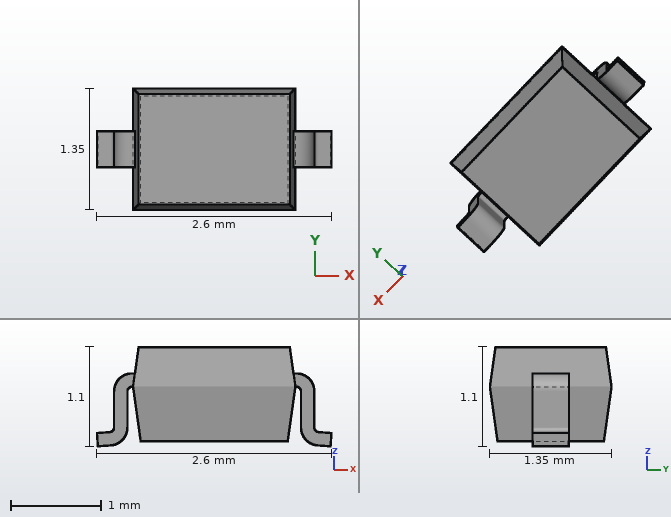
import cadquery as cq
import math

BODY_LENGTH = 1.80
BODY_WIDTH = 1.35
BODY_TOP = 1.10
BODY_BOTTOM = 0.055
PARTING_Z = 0.66
DRAFT_ANGLE = 8.0

LEAD_SPAN = 2.60
LEAD_WIDTH = 0.40
LEAD_THICKNESS = 0.15
LEAD_OUTER_FACE = 1.11
INNER_BEND_RADIUS = 0.05
OUTER_BEND_RADIUS = INNER_BEND_RADIUS + LEAD_THICKNESS
FOOT_TILT = 4.0
LEAD_EMBED = 0.10


def make_body_half(end_z):
    """Half of the body, narrowing from the parting plane to its flat end face."""
    return (
        cq.Workplane("XY", origin=(0, 0, PARTING_Z))
        .rect(BODY_LENGTH, BODY_WIDTH)
        .extrude(end_z - PARTING_Z, taper=DRAFT_ANGLE)
    )


def make_body():
    return make_body_half(BODY_TOP).union(make_body_half(BODY_BOTTOM))


def polar_point(centre, radius, degrees):
    angle = math.radians(degrees)
    return (
        centre[0] + radius * math.cos(angle),
        centre[1] + radius * math.sin(angle),
    )


def make_lead():
    """Lead at the +X end; its underside leaves the body at the parting plane."""
    tilt = math.radians(FOOT_TILT)
    inner_face = LEAD_OUTER_FACE - LEAD_THICKNESS
    root_x = BODY_LENGTH / 2 - LEAD_EMBED
    lead_top = PARTING_Z + LEAD_THICKNESS

    shoulder = (LEAD_OUTER_FACE - OUTER_BEND_RADIUS, lead_top - OUTER_BEND_RADIUS)

    ankle_x = LEAD_OUTER_FACE + INNER_BEND_RADIUS
    foot_top_start_x = ankle_x - INNER_BEND_RADIUS * math.sin(tilt)
    foot_length = (LEAD_SPAN / 2 - foot_top_start_x) / math.cos(tilt)
    foot_drop = foot_length * math.sin(tilt)
    ankle = (ankle_x, OUTER_BEND_RADIUS * math.cos(tilt) + foot_drop)

    shoulder_middle = 45
    ankle_start = 180
    ankle_end = 270 - FOOT_TILT
    ankle_middle = (ankle_start + ankle_end) / 2
    foot_top_start = polar_point(ankle, INNER_BEND_RADIUS, ankle_end)
    foot_bottom_start = polar_point(ankle, OUTER_BEND_RADIUS, ankle_end)
    tip_top = (LEAD_SPAN / 2, foot_top_start[1] - foot_drop)
    tip_bottom = (foot_bottom_start[0] + foot_length * math.cos(tilt), 0)

    profile = (
        cq.Workplane("XZ")
        .moveTo(root_x, lead_top)
        .lineTo(shoulder[0], lead_top)
        .threePointArc(
            polar_point(shoulder, OUTER_BEND_RADIUS, shoulder_middle),
            (LEAD_OUTER_FACE, shoulder[1]),
        )
        .lineTo(LEAD_OUTER_FACE, ankle[1])
        .threePointArc(polar_point(ankle, INNER_BEND_RADIUS, ankle_middle), foot_top_start)
        .lineTo(*tip_top)
        .lineTo(*tip_bottom)
        .lineTo(*foot_bottom_start)
        .threePointArc(
            polar_point(ankle, OUTER_BEND_RADIUS, ankle_middle),
            (inner_face, ankle[1]),
        )
        .lineTo(inner_face, shoulder[1])
        .threePointArc(
            polar_point(shoulder, INNER_BEND_RADIUS, shoulder_middle),
            (shoulder[0], PARTING_Z),
        )
        .lineTo(root_x, PARTING_Z)
        .close()
    )
    return profile.extrude(LEAD_WIDTH / 2, both=True)


right_lead = make_lead()
left_lead = right_lead.mirror("YZ")
result = make_body().union(right_lead).union(left_lead)